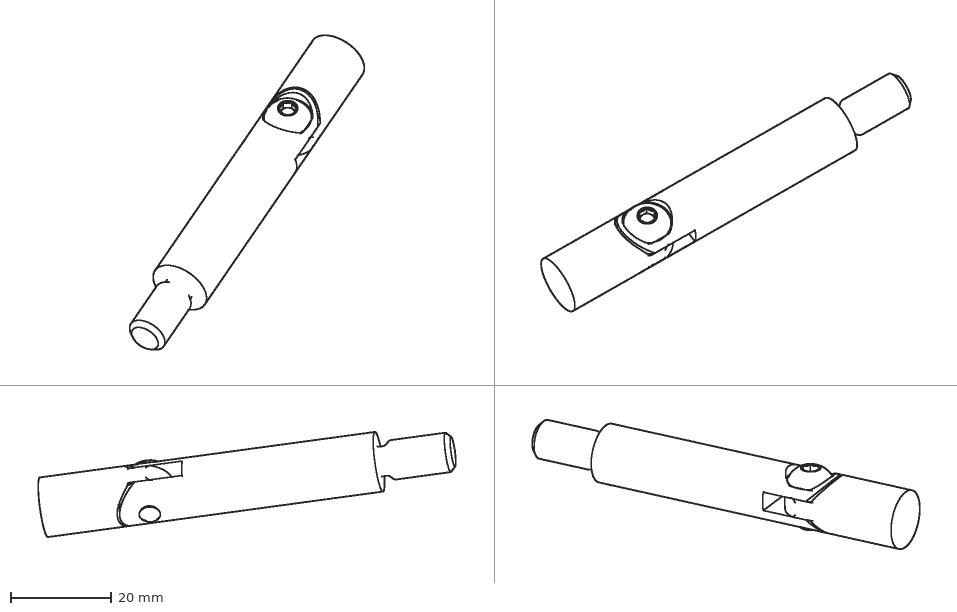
import cadquery as cq
import math

bar_diameter = 12.0
bar_radius = bar_diameter / 2
tongue_bar_end = 21.5
total_length = 83.0
stud_tip = tongue_bar_end - total_length

tongue_thickness = 4.0
tongue_reach = 5.0
slot_depth = 7.6
shoulder_radius = 6.5

stud_length = 15.0
stud_radius = 8.0 / 2
stud_chamfer = 1.0
neck_radius = 6.0 / 2
neck_length = 1.7
neck_root_fillet = 0.25
neck_cone_fillet = 1.0
stud_shoulder_fillet = 0.8

head_diameter = 9.5
head_height = 2.7
head_seat = 4.0
head_flat_diameter = 4.0
shank_diameter = 4.2
shank_bottom = -6.0
counterbore_diameter = 10.0
socket_sides = 6
socket_width = 3.0
socket_depth = 1.6
socket_cone_depth = 0.8

reach = 2 * bar_diameter


def y_cylinder(radius, start, end):
    """Cylinder on the Y axis from start to end, end being the larger Y."""
    return cq.Workplane("XZ", origin=(0, end, 0)).circle(radius).extrude(end - start)


def z_cylinder(radius, bottom, top):
    """Cylinder on the pivot axis from bottom to top."""
    return cq.Workplane("XY", origin=(0, 0, bottom)).circle(radius).extrude(top - bottom)


def slot_slab(start, end):
    """Slab as thick as the tongue, wider than the bar, from start to end along Y."""
    return cq.Workplane("XY").box(reach, end - start, tongue_thickness).translate((0, (start + end) / 2, 0))


def round_ended_plan(end_centre, far_end):
    """Upright prism as wide as the bar, round about end_centre and running to far_end along Y."""
    length = abs(far_end - end_centre)
    straight = cq.Workplane("XY").box(bar_diameter, length, 2 * reach)
    straight = straight.translate((0, (far_end + end_centre) / 2, 0))
    return z_cylinder(bar_radius, -reach, reach).translate((0, end_centre, 0)).union(straight)


def screw_hole():
    """Hole through a whole bar that fits the screw's shank."""
    return z_cylinder(shank_diameter / 2, -reach, reach)


def make_tongue_bar():
    """Round bar with a concave shoulder and a flat tongue with a rounded end."""
    end_centre = bar_radius - tongue_reach
    tongue_plan = round_ended_plan(end_centre, tongue_bar_end)
    bar = y_cylinder(bar_radius, -tongue_reach, tongue_bar_end).intersect(tongue_plan)
    prong_space = z_cylinder(shoulder_radius, -reach, reach).cut(slot_slab(-reach, reach))
    return bar.cut(prong_space).cut(screw_hole())


def make_stud(face):
    """Stud with an undercut neck, a cone up to full diameter and a chamfered tip."""
    cone_start = face - neck_length
    cone_end = cone_start - (stud_radius - neck_radius)
    stud = (
        cq.Workplane("XY")
        .moveTo(0, face)
        .lineTo(neck_radius + neck_root_fillet, face)
        .radiusArc((neck_radius, face - neck_root_fillet), -neck_root_fillet)
        .lineTo(neck_radius, cone_start)
        .lineTo(stud_radius, cone_end)
        .lineTo(stud_radius, stud_tip + stud_chamfer)
        .lineTo(stud_radius - stud_chamfer, stud_tip)
        .lineTo(0, stud_tip)
        .close()
        .revolve(360, (0, 0, 0), (0, 1, 0))
    )
    stud = stud.edges(cq.NearestToPointSelector((0, cone_end, 0))).fillet(stud_shoulder_fillet)
    return stud.edges(cq.NearestToPointSelector((0, cone_start, 0))).fillet(neck_cone_fillet)


def make_fork_bar():
    """Round bar with two rounded prongs, a counterbore for the screw head and a stud."""
    stud_face = stud_tip + stud_length
    bar = y_cylinder(bar_radius, stud_face, bar_radius).intersect(round_ended_plan(0, stud_face))
    bar = bar.cut(slot_slab(-slot_depth, reach))
    bar = bar.cut(z_cylinder(counterbore_diameter / 2, head_seat, reach)).cut(screw_hole())
    return bar.union(make_stud(stud_face))


def make_screw():
    """Button-head screw with a hexagon socket; its shank runs through both prongs and the tongue."""
    head_radius = head_diameter / 2
    flat_radius = head_flat_diameter / 2
    head_top = head_seat + head_height
    dome_centre = head_seat + (head_height**2 + flat_radius**2 - head_radius**2) / (2 * head_height)
    dome_radius = math.hypot(head_radius, head_seat - dome_centre)
    head = (
        z_cylinder(head_radius, head_seat, head_top)
        .intersect(cq.Workplane("XY").sphere(dome_radius).translate((0, 0, dome_centre)))
    )
    screw = head.union(z_cylinder(shank_diameter / 2, shank_bottom, head_seat))
    socket_floor = head_top - socket_depth
    socket = (
        cq.Workplane("XY", origin=(0, 0, socket_floor))
        .polygon(socket_sides, socket_width, circumscribed=True)
        .extrude(socket_depth)
    )
    inner_radius = socket_width / 2
    mouth_radius = inner_radius / math.cos(math.pi / socket_sides)
    mouth_depth = mouth_radius - inner_radius
    mouth = cq.Workplane(
        cq.Solid.makeCone(
            inner_radius, mouth_radius, mouth_depth, pnt=cq.Vector(0, 0, head_top - mouth_depth)
        )
    )
    drill_tip = cq.Workplane(
        cq.Solid.makeCone(
            0, inner_radius, socket_cone_depth, pnt=cq.Vector(0, 0, socket_floor - socket_cone_depth)
        )
    )
    return screw.cut(socket).cut(mouth).cut(drill_tip)


tongue_bar = make_tongue_bar()
fork_bar = make_fork_bar()
screw = make_screw()
result = cq.Compound.makeCompound(
    [*tongue_bar.solids().vals(), *fork_bar.solids().vals(), *screw.solids().vals()]
)